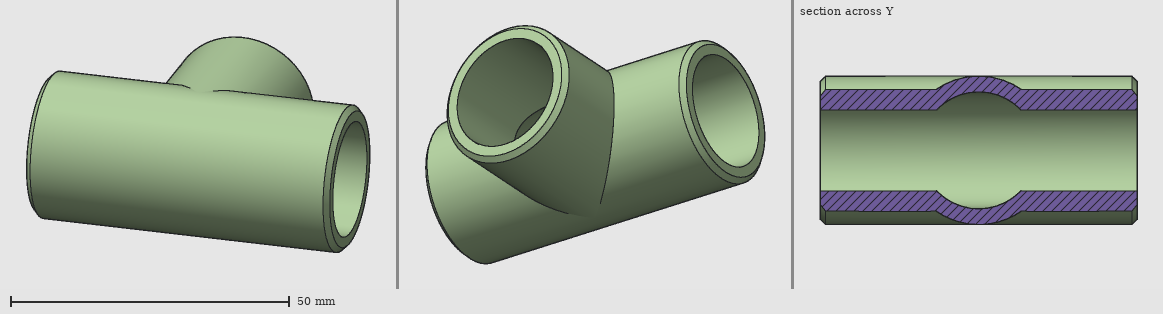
import cadquery as cq

run_length = 56.9
outer_diameter = 26.7
bore_diameter = 20.95
end_chamfer = 0.95
half_run = run_length / 2
branch_length = half_run

run_start = cq.Plane(origin=(-half_run, 0, 0), xDir=(0, 1, 0), normal=(1, 0, 0))
branch_start = cq.Plane(origin=(0, 0, 0), xDir=(1, 0, 0), normal=(0, 1, 0))


def cylinder(start, diameter, length):
    return cq.Workplane(start).circle(diameter / 2).extrude(length)


run = cylinder(run_start, outer_diameter, run_length).faces("<X or >X").chamfer(end_chamfer)
branch = cylinder(branch_start, outer_diameter, branch_length).faces(">Y").chamfer(end_chamfer)

run_bore = cylinder(run_start, bore_diameter, run_length)
branch_bore = cylinder(branch_start, bore_diameter, branch_length)

result = run.union(branch).cut(run_bore).cut(branch_bore)